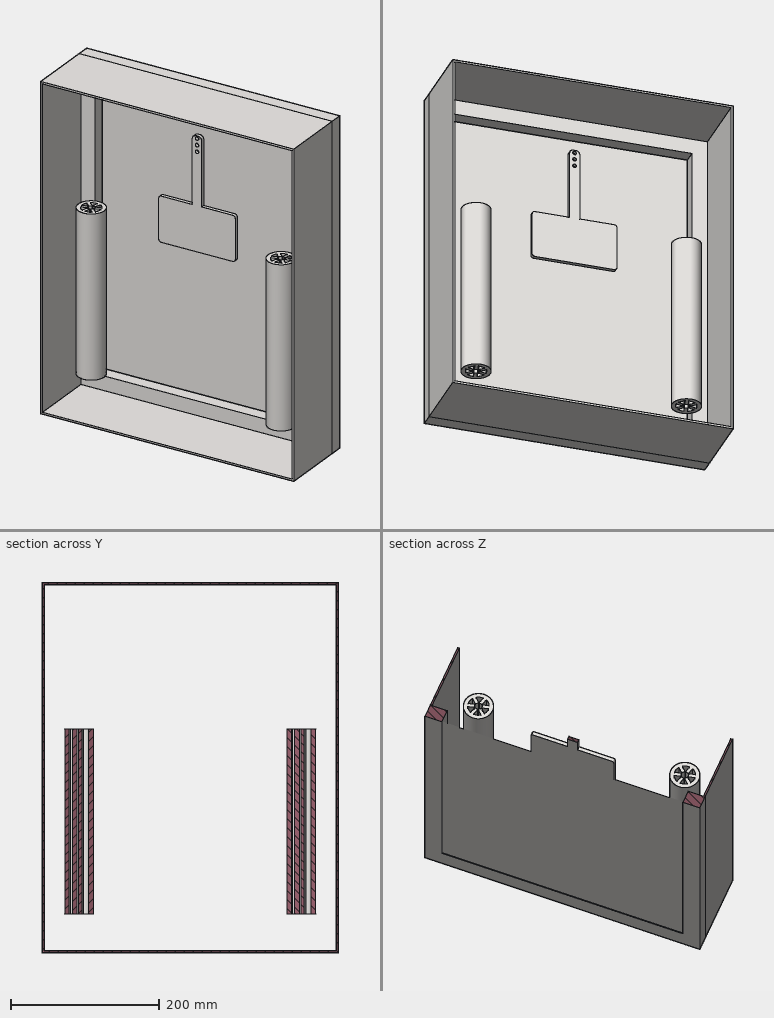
import cadquery as cq

WIDTH = 400.0
HEIGHT = 500.0
DEPTH = 120.0

WALL = 3.0
FRAME_DEPTH = 20.0
FRAME_BORDER = 25.0
PANEL_THICKNESS = 1.0
SHELL_DEPTH = DEPTH - FRAME_DEPTH
OPENING_WIDTH = WIDTH - 2 * FRAME_BORDER
OPENING_HEIGHT = HEIGHT - 2 * FRAME_BORDER

ROLLER_DIAMETER = 41.0
ROLLER_LENGTH = 250.0
ROLLER_BASE_Z = -197.5
ROLLER_X = 150.0
ROLLER_Y = 49.5
ROLLER_RIM = 6.0
BORE_DIAMETER = 10.0
HUB_DIAMETER = 12.0
WEB_THICKNESS = 5.0
WEB_COUNT = 6
FIRST_WEB_ANGLE = -45.0

PADDLE_FRONT_Y = 77.5
PADDLE_THICKNESS = 5.5
PLATE_WIDTH = 121.0
PLATE_HEIGHT = 69.5
PLATE_BASE_Z = 12.0
HANDLE_WIDTH = 15.0
HANDLE_TOP_Z = 186.5
PLATE_CORNER_RADIUS = 4.0
HANDLE_CORNER_RADIUS = 6.0
HOLE_DIAMETER = 5.0
HOLE_PITCH = 10.0
HANDLE_HOLES = 3
TOP_HOLE_Z = 182.5


def box_from_front(width, height, front_y, depth):
    """Box centred on X and Z, running toward +Y from front_y."""
    return cq.Workplane("XY").box(width, depth, height).translate((0, front_y + depth / 2, 0))


def make_shell():
    outside = box_from_front(WIDTH, HEIGHT, 0, SHELL_DEPTH)
    return outside.cut(box_from_front(WIDTH - 2 * WALL, HEIGHT - 2 * WALL, 0, SHELL_DEPTH))


def make_frame():
    outside = box_from_front(WIDTH, HEIGHT, SHELL_DEPTH, FRAME_DEPTH)
    return outside.cut(box_from_front(OPENING_WIDTH, OPENING_HEIGHT, SHELL_DEPTH, FRAME_DEPTH))


def make_panel():
    return box_from_front(OPENING_WIDTH, OPENING_HEIGHT, DEPTH - PANEL_THICKNESS, PANEL_THICKNESS)


def make_roller(x):
    base = cq.Workplane("XY", origin=(x, ROLLER_Y, ROLLER_BASE_Z))
    rim_radius = ROLLER_DIAMETER / 2 - ROLLER_RIM
    roller = base.circle(ROLLER_DIAMETER / 2).circle(rim_radius).extrude(ROLLER_LENGTH)
    roller = roller.union(base.circle(HUB_DIAMETER / 2).extrude(ROLLER_LENGTH))
    for i in range(WEB_COUNT // 2):
        angle = FIRST_WEB_ANGLE + i * 360 / WEB_COUNT
        bar = base.transformed(rotate=(0, 0, angle)).rect(2 * rim_radius + ROLLER_RIM, WEB_THICKNESS)
        roller = roller.union(bar.extrude(ROLLER_LENGTH))
    return roller.cut(base.circle(BORE_DIAMETER / 2).extrude(ROLLER_LENGTH))


def make_paddle():
    plate_top_z = PLATE_BASE_Z + PLATE_HEIGHT
    plate = (
        box_from_front(PLATE_WIDTH, PLATE_HEIGHT, PADDLE_FRONT_Y, PADDLE_THICKNESS)
        .translate((0, 0, PLATE_BASE_Z + PLATE_HEIGHT / 2))
        .edges("|Y")
        .fillet(PLATE_CORNER_RADIUS)
    )
    handle_length = HANDLE_TOP_Z - plate_top_z
    handle = (
        box_from_front(HANDLE_WIDTH, handle_length, PADDLE_FRONT_Y, PADDLE_THICKNESS)
        .translate((0, 0, plate_top_z + handle_length / 2))
        .edges("|Y and >Z")
        .fillet(HANDLE_CORNER_RADIUS)
    )
    hole_places = [(0, TOP_HOLE_Z - i * HOLE_PITCH) for i in range(HANDLE_HOLES)]
    holes = (
        cq.Workplane("XZ", origin=(0, PADDLE_FRONT_Y, 0))
        .pushPoints(hole_places)
        .circle(HOLE_DIAMETER / 2)
        .extrude(-PADDLE_THICKNESS)
    )
    return plate.union(handle).cut(holes)


shell = make_shell()
frame = make_frame()
panel = make_panel()
rollers = [make_roller(side * ROLLER_X) for side in (-1, 1)]
paddle = make_paddle()

result = cq.Compound.makeCompound(
    [shell.val(), frame.val(), panel.val(), *[roller.val() for roller in rollers], paddle.val()]
)